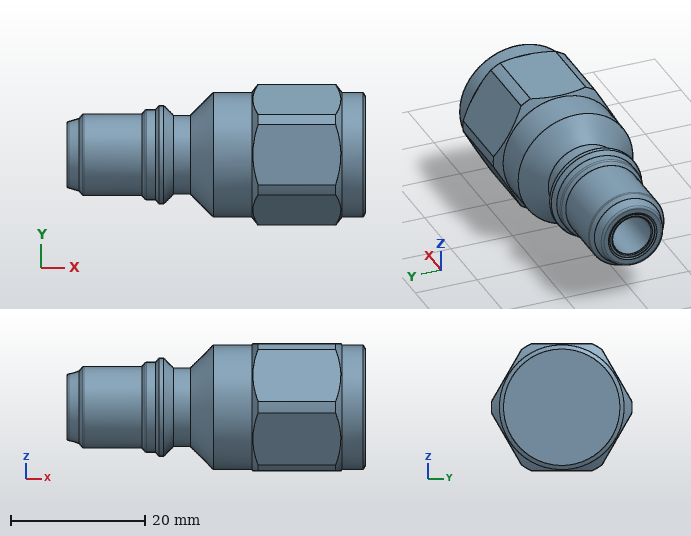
import cadquery as cq
import math

length = 44.5
hex_flats = 19.0
hex_corners = 21.0

nose_face_radius = 4.65
nose_radius = 5.0
nose_round_length = 0.3
nose_base_x = 1.82
nose_base_radius = 5.45
stem_x = 2.4
stem_radius = 6.1
stem_edge_round = 0.25

collar_x = 11.15
collar_bevel = 0.55
collar_radius = 6.7
collar_edge_round = 0.35
rim_x = 13.15
rim_start_x = 13.75
rim_end_x = 14.4
rim_radius = 7.35

neck_radius = 5.87
neck_start_x = rim_end_x + rim_radius - neck_radius
neck_end_x = 18.4
body_radius = 9.3
body_x = neck_end_x + body_radius - neck_radius
end_bevel_length = 0.35
end_bevel_depth = 0.62

corner_turn = 30.0
hex_start_x = 27.55
hex_end_x = 41.0
hex_bevel_length = 0.95

mouth_radius = 3.9
seat_radius = 3.65
mouth_bevel = 0.15
seat_depth = 0.22
bore_edge_radius = 3.3
bore_radius = 3.1
bore_bevel = 0.1
bore_depth = 11.12


def revolve_about_x(profile):
    """Turn a closed (x, radius) profile a full revolution about the X axis."""
    return profile.close().revolve(360, (0, 0, 0), (1, 0, 0))


def make_turned_body():
    profile = (
        cq.Workplane("XY")
        .lineTo(0, nose_face_radius)
        .threePointArc(
            (
                nose_round_length * (1 - math.sqrt(0.5)),
                nose_face_radius + (nose_radius - nose_face_radius) * math.sqrt(0.5),
            ),
            (nose_round_length, nose_radius),
        )
        .lineTo(nose_base_x, nose_base_radius)
        .lineTo(stem_x, stem_radius)
        .lineTo(collar_x, stem_radius)
        .lineTo(collar_x + collar_bevel, collar_radius)
        .lineTo(rim_x, collar_radius)
        .lineTo(rim_start_x, rim_radius)
        .lineTo(rim_end_x, rim_radius)
        .lineTo(neck_start_x, neck_radius)
        .lineTo(neck_end_x, neck_radius)
        .lineTo(body_x, body_radius)
        .lineTo(length - end_bevel_length, body_radius)
        .lineTo(length, body_radius - end_bevel_depth)
        .lineTo(length, 0)
    )
    return revolve_about_x(profile)


def soften_edge(body, x, radius, round_radius):
    """Fillet the circular edge found at the given station and radius."""
    margin = 0.05
    selector = cq.selectors.BoxSelector(
        (x - margin, -radius - margin, -radius - margin),
        (x + margin, radius + margin, radius + margin),
        boundingbox=True,
    )
    return body.edges(selector).fillet(round_radius)


def make_hexagon():
    hexagon = (
        cq.Workplane("YZ", origin=(hex_start_x, 0, 0))
        .polygon(6, hex_flats, circumscribed=True)
        .extrude(hex_end_x - hex_start_x)
        .rotate((0, 0, 0), (1, 0, 0), corner_turn)
    )
    corner_radius = hex_corners / 2
    turned_envelope = revolve_about_x(
        cq.Workplane("XY")
        .moveTo(hex_start_x, 0)
        .lineTo(hex_start_x, body_radius)
        .lineTo(hex_start_x + hex_bevel_length, corner_radius)
        .lineTo(hex_end_x - hex_bevel_length, corner_radius)
        .lineTo(hex_end_x, body_radius)
        .lineTo(hex_end_x, 0)
    )
    return hexagon.intersect(turned_envelope)


def make_bore():
    profile = (
        cq.Workplane("XY")
        .lineTo(0, mouth_radius)
        .lineTo(mouth_bevel, seat_radius)
        .lineTo(seat_depth, seat_radius)
        .lineTo(seat_depth, bore_edge_radius)
        .lineTo(seat_depth + bore_bevel, bore_radius)
        .lineTo(bore_depth, bore_radius)
        .lineTo(bore_depth, 0)
    )
    return revolve_about_x(profile)


turned_body = make_turned_body()
turned_body = soften_edge(turned_body, stem_x, stem_radius, stem_edge_round)
turned_body = soften_edge(turned_body, collar_x + collar_bevel, collar_radius, collar_edge_round)
result = turned_body.union(make_hexagon()).cut(make_bore())